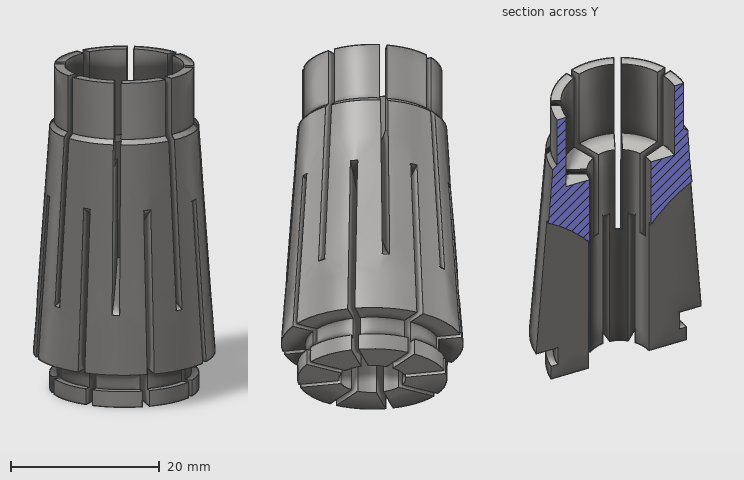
import cadquery as cq
import math

total_height = 45.1
flange_top = 2.2
cone_bottom = 5.1
shoulder_top = 37.25
shoulder_chamfer_height = 0.6
counterbore_depth = 12.0

flange_radius = 10.05
neck_radius = 9.05
cone_base_radius = 12.25
cone_half_angle = 4.0
collar_radius = 9.4
counterbore_radius = 8.0
bore_radius = 4.5

slot_count = 8
slot_width = 1.0
saw_radius = 22.0
lower_slot_top = 27.6
upper_slot_bottom = 13.3
end_clearance = 1.0

slot_pitch = 360.0 / slot_count
cone_top = shoulder_top - shoulder_chamfer_height


def cone_radius(z):
    """Radius of the tapered outside at height z."""
    return cone_base_radius - (z - cone_bottom) * math.tan(math.radians(cone_half_angle))


def make_body():
    """Revolved sleeve: flange, neck, cone, chamfered shoulder and collar."""
    return (
        cq.Workplane("XZ")
        .moveTo(0, 0)
        .lineTo(flange_radius, 0)
        .lineTo(flange_radius, flange_top)
        .lineTo(neck_radius, flange_top)
        .lineTo(neck_radius, cone_bottom)
        .lineTo(cone_base_radius, cone_bottom)
        .lineTo(cone_radius(cone_top), cone_top)
        .lineTo(collar_radius, shoulder_top)
        .lineTo(collar_radius, total_height)
        .lineTo(0, total_height)
        .close()
        .revolve(360, (0, 0, 0), (0, 1, 0))
    )


def cut_bores(body):
    """Through bore with a wider counterbore from the top."""
    body = body.faces(">Z").workplane().circle(bore_radius).cutThruAll()
    return body.faces(">Z").workplane().circle(counterbore_radius).cutBlind(-counterbore_depth)


def make_slot_cutter(runout_z, open_end_z):
    """Radial slot along +X, from the open end to an arc meeting the cone at runout_z."""
    direction = math.copysign(1, runout_z - open_end_z)
    runout_offset = saw_radius - cone_radius(runout_z)
    saw_center_z = runout_z - direction * math.sqrt(saw_radius**2 - runout_offset**2)
    diagonal = saw_radius * math.sqrt(0.5)
    return (
        cq.Workplane("XZ")
        .moveTo(0, open_end_z)
        .lineTo(0, saw_center_z)
        .threePointArc(
            (saw_radius - diagonal, saw_center_z + direction * diagonal),
            (saw_radius, saw_center_z + direction * saw_radius),
        )
        .lineTo(saw_radius, open_end_z)
        .close()
        .extrude(slot_width / 2, both=True)
    )


def cut_slots(body, cutter, first_angle):
    """Cut one ring of equally spaced slots."""
    for index in range(slot_count):
        angle = first_angle + index * slot_pitch
        body = body.cut(cutter.rotate((0, 0, 0), (0, 0, 1), angle))
    return body


lower_cutter = make_slot_cutter(lower_slot_top, -end_clearance)
upper_cutter = make_slot_cutter(upper_slot_bottom, total_height + end_clearance)

result = cut_bores(make_body())
result = cut_slots(result, lower_cutter, 0)
result = cut_slots(result, upper_cutter, slot_pitch / 2)